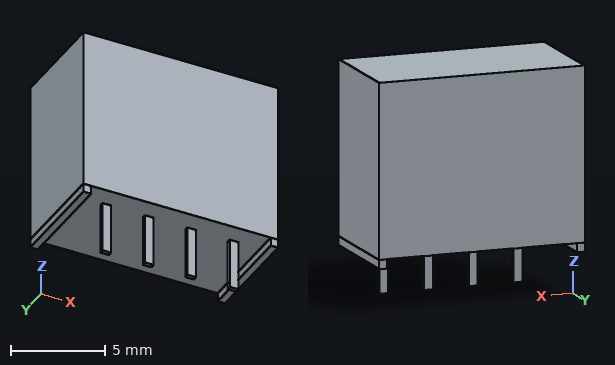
import cadquery as cq

total_width = 11.7
total_depth = 6.1
total_height = 12.66

pin_count = 4
pin_pitch = 2.55
pin_width = 0.51
pin_thickness = 0.25
pin_length = 3.0
pin_row_from_front = 1.32

rail_width = 0.45
rail_height = 0.51

housing_height = total_height - pin_length
underside_z = pin_length
pin_row_y = pin_row_from_front - total_depth / 2


def make_housing():
    """Plain block that stands on the rails."""
    block = cq.Workplane("XY").box(total_width, total_depth, housing_height, centered=(True, True, False))
    return block.translate((0, 0, underside_z))


def make_rail(side):
    """Rail flush with the housing end at side = -1 (left) or +1 (right)."""
    rail = cq.Workplane("XY").box(rail_width, total_depth, rail_height, centered=(True, True, False))
    center_x = side * (total_width - rail_width) / 2
    return rail.translate((center_x, 0, underside_z - rail_height))


def make_pin(index):
    """Straight pin that meets the underside of the housing."""
    pin = cq.Workplane("XY").box(pin_width, pin_thickness, pin_length, centered=(True, True, False))
    center_x = (index - (pin_count - 1) / 2) * pin_pitch
    return pin.translate((center_x, pin_row_y, 0))


housing = make_housing()
rails = [make_rail(side) for side in (-1, 1)]
pins = [make_pin(index) for index in range(pin_count)]

bodies = [housing, *rails, *pins]
result = cq.Compound.makeCompound([body.val() for body in bodies])